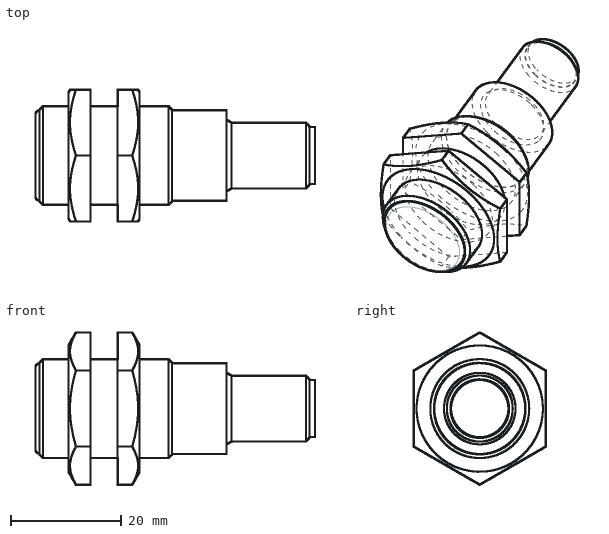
import cadquery as cq
import math

total_length = 50.8
cap_radius = 8.2
cap_rounding = 0.65
barrel_start = 0.7
barrel_radius = 18.0 / 2
barrel_end = 24.85
barrel_chamfer = 0.65
collar_radius = 16.5 / 2
collar_end = 34.75
stem_radius = 12.0 / 2
stem_root_height = 0.5
stem_root_length = 0.9
stem_end = 49.8
stem_chamfer = 0.65
tip_radius = 10.4 / 2

nut_across_flats = 24.0
nut_across_corners = nut_across_flats / math.cos(math.radians(30))
nut_thickness = 4.0
nut_face_radius = 11.5
nut_chamfer_angle = 30.0
front_nut_outer_face = 6.0
rear_nut_outer_face = 18.95


def make_body():
    """Revolve the stepped half profile about the X axis."""
    rounding_offset = cap_rounding * math.sin(math.radians(45))
    rounding_mid = (cap_rounding - rounding_offset, cap_radius - cap_rounding + rounding_offset)
    profile = (
        cq.Workplane("XY")
        .lineTo(0, cap_radius - cap_rounding)
        .threePointArc(rounding_mid, (cap_rounding, cap_radius))
        .lineTo(barrel_start, cap_radius)
        .lineTo(barrel_start, barrel_radius - barrel_chamfer)
        .lineTo(barrel_start + barrel_chamfer, barrel_radius)
        .lineTo(barrel_end - barrel_chamfer, barrel_radius)
        .lineTo(barrel_end, barrel_radius - barrel_chamfer)
        .lineTo(barrel_end, collar_radius)
        .lineTo(collar_end, collar_radius)
        .lineTo(collar_end, stem_radius + stem_root_height)
        .lineTo(collar_end + stem_root_length, stem_radius)
        .lineTo(stem_end - stem_chamfer, stem_radius)
        .lineTo(stem_end, stem_radius - stem_chamfer)
        .lineTo(stem_end, tip_radius)
        .lineTo(total_length, tip_radius)
        .lineTo(total_length, 0)
        .close()
    )
    return profile.revolve(360, (0, 0, 0), (1, 0, 0))


def make_nut(outer_face, inward):
    """Hexagon nut whose chamfered face is at outer_face; inward (+1 or -1) is its direction along X."""
    corner_radius = nut_across_corners / 2
    chamfer_depth = (corner_radius - nut_face_radius) * math.tan(math.radians(nut_chamfer_angle))
    inner_face = outer_face + inward * nut_thickness
    hexagon = (
        cq.Workplane("YZ", origin=(outer_face, 0, 0))
        .transformed(rotate=(0, 0, 90))
        .polygon(6, nut_across_corners)
        .extrude(inward * nut_thickness)
    )
    chamfer_envelope = (
        cq.Workplane("XY")
        .moveTo(outer_face, 0)
        .lineTo(outer_face, nut_face_radius)
        .lineTo(outer_face + inward * chamfer_depth, corner_radius)
        .lineTo(inner_face, corner_radius)
        .lineTo(inner_face, 0)
        .close()
        .revolve(360, (0, 0, 0), (1, 0, 0))
    )
    return hexagon.intersect(chamfer_envelope)


front_nut = make_nut(front_nut_outer_face, 1)
rear_nut = make_nut(rear_nut_outer_face, -1)
result = make_body().union(front_nut).union(rear_nut)